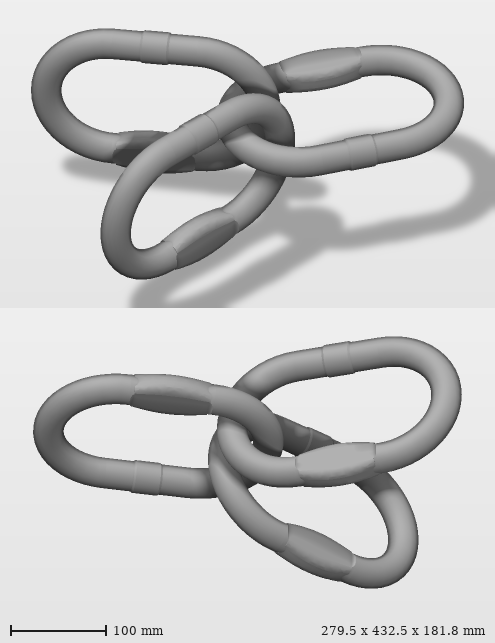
import cadquery as cq
import math

WIRE_DIAMETER = 32.0
WIRE_RADIUS = WIRE_DIAMETER / 2
LINK_WIDTH = 174.0
BEND_RADIUS = (LINK_WIDTH - WIRE_DIAMETER) / 2
LEG_LENGTH = 90.5
HALF_LEG = LEG_LENGTH / 2

COLLAR_DIAMETER = 34.5
COLLAR_LENGTH = 30.3
COLLAR_TAPER = 2.0

BARREL_HALF_LENGTH = 40.5
BARREL_HALF_THICKNESS = 13.0
SIDE_FLAT_HALF_HEIGHT = 4.8
MIDDLE_HALF_WIDTH = 22.5
MIDDLE_FACE_HALF_WIDTH = 13.5
END_HALF_WIDTH = 14.5
END_FACE_HALF_WIDTH = 10.5

FACE_HALF_LENGTH = 39.8
RUNOUT_RADIUS = 4.5

SPREAD_ANGLE = 25.0
OVERALL_WIDTH = 279.5
OVERALL_LENGTH = 432.5
HALF_CENTERLINE = HALF_LEG + BEND_RADIUS
HALF_RUN_X = HALF_CENTERLINE * math.sin(math.radians(SPREAD_ANGLE))
HALF_RUN_Y = HALF_CENTERLINE * math.cos(math.radians(SPREAD_ANGLE))
HANGING_CENTER_X = OVERALL_WIDTH / 2 - WIRE_RADIUS - HALF_RUN_X
HANGING_CENTER_Y = HALF_CENTERLINE + WIRE_DIAMETER + HALF_RUN_Y - OVERALL_LENGTH


def wire_loop():
    """Closed oval of round wire in the XY plane, legs along Y."""
    centerline = (
        cq.Workplane("XY")
        .moveTo(BEND_RADIUS, -HALF_LEG)
        .lineTo(BEND_RADIUS, HALF_LEG)
        .threePointArc((0, HALF_CENTERLINE), (-BEND_RADIUS, HALF_LEG))
        .lineTo(-BEND_RADIUS, -HALF_LEG)
        .threePointArc((0, -HALF_CENTERLINE), (BEND_RADIUS, -HALF_LEG))
        .close()
    )
    start = cq.Workplane("XZ", origin=(BEND_RADIUS, -HALF_LEG, 0))
    return start.circle(WIRE_RADIUS).sweep(centerline)


def weld_collar():
    """Collar with tapered ends around the +X leg."""
    collar_radius = COLLAR_DIAMETER / 2
    half_length = COLLAR_LENGTH / 2
    half_body = half_length - COLLAR_TAPER
    return (
        cq.Workplane("XY", origin=(BEND_RADIUS, 0, 0))
        .moveTo(0, -half_length)
        .lineTo(WIRE_RADIUS, -half_length)
        .lineTo(collar_radius, -half_body)
        .lineTo(collar_radius, half_body)
        .lineTo(WIRE_RADIUS, half_length)
        .lineTo(0, half_length)
        .close()
        .revolve(360, (0, 0, 0), (0, 1, 0))
    )


def barrel_section(y, half_width, face_half_width):
    """Rounded rectangle across the -X leg at the given y."""
    diagonal = math.sqrt(0.5)
    corner_x = face_half_width + diagonal * (half_width - face_half_width)
    corner_z = SIDE_FLAT_HALF_HEIGHT + diagonal * (BARREL_HALF_THICKNESS - SIDE_FLAT_HALF_HEIGHT)
    face_z = BARREL_HALF_THICKNESS
    side_z = SIDE_FLAT_HALF_HEIGHT
    section = (
        cq.Workplane("XZ", origin=(-BEND_RADIUS, y, 0))
        .moveTo(-face_half_width, face_z)
        .lineTo(face_half_width, face_z)
        .threePointArc((corner_x, corner_z), (half_width, side_z))
        .lineTo(half_width, -side_z)
        .threePointArc((corner_x, -corner_z), (face_half_width, -face_z))
        .lineTo(-face_half_width, -face_z)
        .threePointArc((-corner_x, -corner_z), (-half_width, -side_z))
        .lineTo(-half_width, side_z)
        .threePointArc((-corner_x, corner_z), (-face_half_width, face_z))
        .close()
    )
    return section.val()


def label_barrel():
    """Barrel lofted through its two ends and its wide middle."""
    sections = [
        barrel_section(-BARREL_HALF_LENGTH, END_HALF_WIDTH, END_FACE_HALF_WIDTH),
        barrel_section(0, MIDDLE_HALF_WIDTH, MIDDLE_FACE_HALF_WIDTH),
        barrel_section(BARREL_HALF_LENGTH, END_HALF_WIDTH, END_FACE_HALF_WIDTH),
    ]
    return cq.Workplane(cq.Solid.makeLoft(sections))


def face_cuts():
    """Two round-ended cutters that flatten the -X leg above and below the barrel faces."""
    cutter_length = 2 * (FACE_HALF_LENGTH + RUNOUT_RADIUS)
    cutter = (
        cq.Workplane("XY", origin=(-BEND_RADIUS, 0, BARREL_HALF_THICKNESS))
        .rect(WIRE_DIAMETER, cutter_length)
        .extrude(WIRE_RADIUS)
        .edges("|X and <Z")
        .fillet(RUNOUT_RADIUS)
    )
    return cutter.union(cutter.mirror("XY"))


def make_link():
    """Complete link lying in the XY plane, centred on the origin."""
    return wire_loop().cut(face_cuts()).union(label_barrel()).union(weld_collar())


def hanging_link(side):
    """Link turned upright, collar up, on the -X (side = -1) or +X (side = 1) side."""
    upright = make_link().rotate((0, 0, 0), (0, 1, 0), -90)
    spread = upright.rotate((0, 0, 0), (0, 0, 1), side * SPREAD_ANGLE)
    return spread.translate((side * HANGING_CENTER_X, HANGING_CENTER_Y, 0))


main_link = make_link()
hanging_links = [hanging_link(side) for side in (-1, 1)]

result = cq.Compound.makeCompound([main_link.val(), *[link.val() for link in hanging_links]])